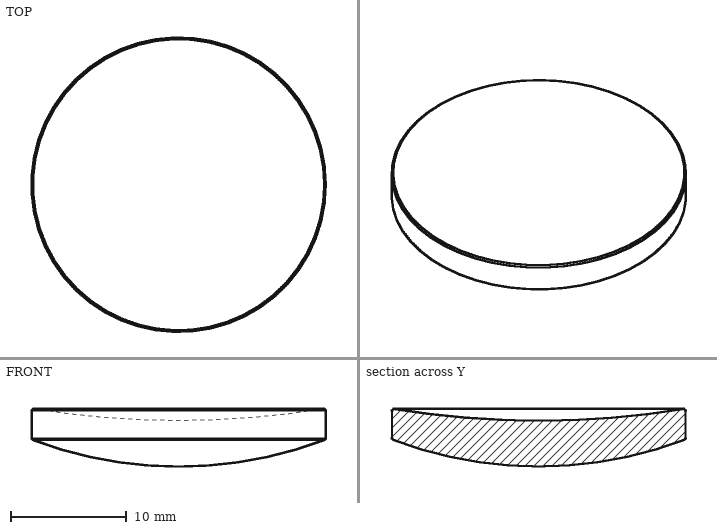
import cadquery as cq
import math

diameter = 25.4
height = 5.0
bevel = 0.15
convex_depth = 2.29
concave_depth = 1.02

radius = diameter / 2
face_radius = radius - bevel
mid_radius = face_radius / 2


def sag(depth, distance):
    """Depth of a spherical cap, measured from its apex, at a distance from the axis."""
    sphere_radius = (face_radius**2 + depth**2) / (2 * depth)
    return sphere_radius - math.sqrt(sphere_radius**2 - distance**2)


rim_top = height / 2
convex_apex = -height / 2
rim_bottom = convex_apex + convex_depth
concave_apex = rim_top - concave_depth

result = (
    cq.Workplane("XZ")
    .moveTo(0, convex_apex)
    .threePointArc((mid_radius, convex_apex + sag(convex_depth, mid_radius)), (face_radius, rim_bottom))
    .lineTo(radius, rim_bottom + bevel)
    .lineTo(radius, rim_top - bevel)
    .lineTo(face_radius, rim_top)
    .threePointArc((mid_radius, concave_apex + sag(concave_depth, mid_radius)), (0, concave_apex))
    .close()
    .revolve(360, (0, 0, 0), (0, 1, 0))
)